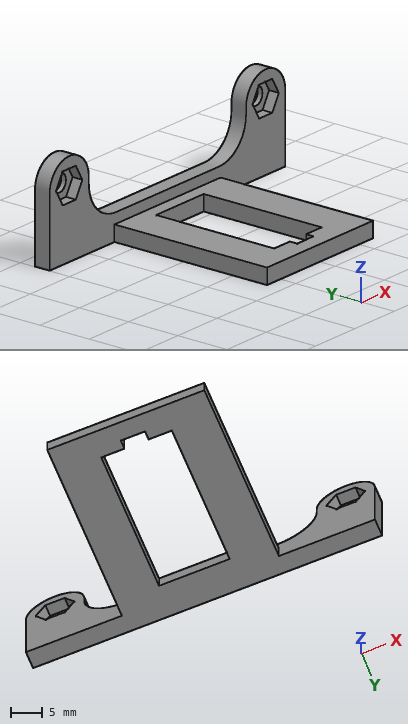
import cadquery as cq
import math

length = 60.0
height = 18.0
depth = 34.0
thickness = 3.0

ear_diameter = 10.0
ear_radius = ear_diameter / 2
ear_center_x = length / 2 - ear_radius
ear_center_z = height - ear_radius
ear_inner_x = length / 2 - ear_diameter
web_height = 5.0
inner_fillet = 6.85

hole_diameter = 3.3
nut_across_flats = 5.75
nut_across_corners = nut_across_flats / math.cos(math.pi / 6)
nut_depth = 2.0

shelf_width = 27.0
window_width = 12.1
window_length = 24.0
window_front_margin = 4.5
notch_width = 4.15
notch_depth = 1.5

shelf_front_y = -depth
overcut = 0.6


def make_bracket():
    """Upright plate with round-topped ears blended into a low web."""
    arc_offset = inner_fillet * math.sqrt(0.5)
    fillet_x = ear_inner_x - inner_fillet
    fillet_z = web_height + inner_fillet
    return (
        cq.Workplane("XZ")
        .moveTo(-length / 2, 0)
        .lineTo(length / 2, 0)
        .lineTo(length / 2, ear_center_z)
        .threePointArc((ear_center_x, height), (ear_inner_x, ear_center_z))
        .lineTo(ear_inner_x, fillet_z)
        .threePointArc((fillet_x + arc_offset, fillet_z - arc_offset), (fillet_x, web_height))
        .lineTo(-fillet_x, web_height)
        .threePointArc((-fillet_x - arc_offset, fillet_z - arc_offset), (-ear_inner_x, fillet_z))
        .lineTo(-ear_inner_x, ear_center_z)
        .threePointArc((-ear_center_x, height), (-length / 2, ear_center_z))
        .close()
        .extrude(thickness)
    )


def make_ear_cuts():
    """Through holes and the nut pockets around them."""
    centers = [(-ear_center_x, ear_center_z), (ear_center_x, ear_center_z)]
    holes = cq.Workplane("XZ").pushPoints(centers).circle(hole_diameter / 2).extrude(thickness)
    pockets = (
        cq.Workplane("XZ", origin=(0, nut_depth - thickness, 0))
        .pushPoints(centers)
        .polygon(6, nut_across_corners)
        .extrude(nut_depth)
    )
    return holes.union(pockets)


def box_on_base(width, front_y, back_y):
    """Block of shelf thickness, centred on X, between two Y positions."""
    return cq.Workplane("XY").box(
        width, back_y - front_y, thickness, centered=(True, False, False)
    ).translate((0, front_y, 0))


def make_shelf():
    """Flat shelf with a rectangular window and a key notch at its front."""
    window_front_y = shelf_front_y + window_front_margin
    shelf = box_on_base(shelf_width, shelf_front_y, 0)
    window = box_on_base(window_width, window_front_y, window_front_y + window_length)
    notch = box_on_base(notch_width, window_front_y - notch_depth, window_front_y + overcut)
    return shelf.cut(window).cut(notch)


result = make_bracket().cut(make_ear_cuts()).union(make_shelf())